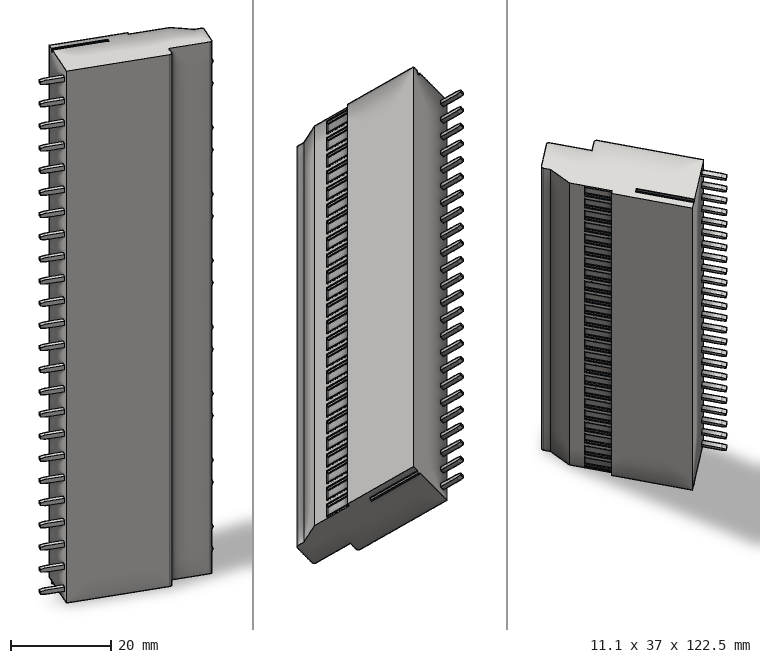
import cadquery as cq


poles = 24
poles_per_block = 3
body_height = 121.9
pitch = body_height / poles

thickness = 11.1
depth = 31.5
wide_depth = 16.5
step_height = 0.6
slope_start = 25.2
slope_end = 29.5
nose_left = 2.8
nose_right = 8.7
shoulder_depth = 22.3
nose_radius = 0.5
shoulder_radius = 0.6

recess_end = 22.2
recess_width = 3.9
inner_recess_width = 2.7
recess_depth = 0.2

pin_size = 1.0
pin_length = 5.0
pin_x = 9.4
tip_length = 1.0
tip_height = 0.6

rib_height = 0.5
rib_straight = 0.2
rib_base = 1.1
rib_length = 1.0
rib_x = 7.2

tongue_x = 1.7
tongue_width = 0.7
tongue_tip_width = 0.4
tongue_length = 11.9
tongue_height = 0.6
tongue_straight = 0.2


def make_body():
    outline = (
        cq.Workplane("XY")
        .moveTo(0, 0)
        .lineTo(thickness, 0)
        .lineTo(thickness, shoulder_depth - shoulder_radius)
        .radiusArc((thickness - shoulder_radius, shoulder_depth), -shoulder_radius)
        .lineTo(nose_right, shoulder_depth)
        .lineTo(nose_right, depth - nose_radius)
        .radiusArc((nose_right - nose_radius, depth), -nose_radius)
        .lineTo(nose_left + nose_radius, depth)
        .radiusArc((nose_left, depth - nose_radius), -nose_radius)
        .lineTo(nose_left, slope_end)
        .lineTo(step_height, slope_start)
        .lineTo(step_height, wide_depth)
        .lineTo(0, wide_depth)
        .close()
    )
    return outline.extrude(body_height)


def make_recess(z):
    """Two-level recess that starts at the shallow step."""
    length = recess_end - wide_depth
    outer = cq.Workplane("XY").box(recess_depth, length, recess_width, centered=(False, False, True))
    inner = cq.Workplane("XY").box(2 * recess_depth, length, inner_recess_width, centered=(False, False, True))
    return outer.union(inner).translate((step_height, wide_depth, z))


def make_pin(z):
    """Square pin whose tip narrows in Z only."""
    half = pin_size / 2
    half_tip = tip_height / 2
    profile = [
        (0, -half),
        (0, half),
        (tip_length - pin_length, half),
        (-pin_length, half_tip),
        (-pin_length, -half_tip),
        (tip_length - pin_length, -half),
    ]
    pin = cq.Workplane("YZ").polyline(profile).close().extrude(half, both=True)
    return pin.translate((pin_x, 0, z))


def make_rib(z):
    """Short rib with straight sides and a pointed roof; the ridge runs along X."""
    half = rib_base / 2
    eaves = depth + rib_straight
    section = [(depth, -half), (eaves, -half), (depth + rib_height, 0), (eaves, half), (depth, half)]
    rib = cq.Workplane("YZ").polyline(section).close().extrude(rib_length / 2, both=True)
    return rib.translate((rib_x, 0, z))


def make_tongue(z):
    """Rail with its root on the plane z, pointing down and open to the pin face."""
    half = tongue_width / 2
    half_tip = tongue_tip_width / 2
    section = [
        (-half, 0),
        (-half, -tongue_straight),
        (-half_tip, -tongue_height),
        (half_tip, -tongue_height),
        (half, -tongue_straight),
        (half, 0),
    ]
    rail = cq.Workplane("XZ").polyline(section).close().extrude(-tongue_length)
    return rail.translate((tongue_x, 0, z))


result = make_body()
result = result.union(make_tongue(0))
result = result.cut(make_tongue(body_height))

for pole in range(poles):
    pole_z = (pole + 0.5) * pitch
    result = result.cut(make_recess(pole_z))
    result = result.union(make_pin(pole_z))

for joint in range(1, poles):
    if joint % poles_per_block != 0:
        result = result.union(make_rib(joint * pitch))